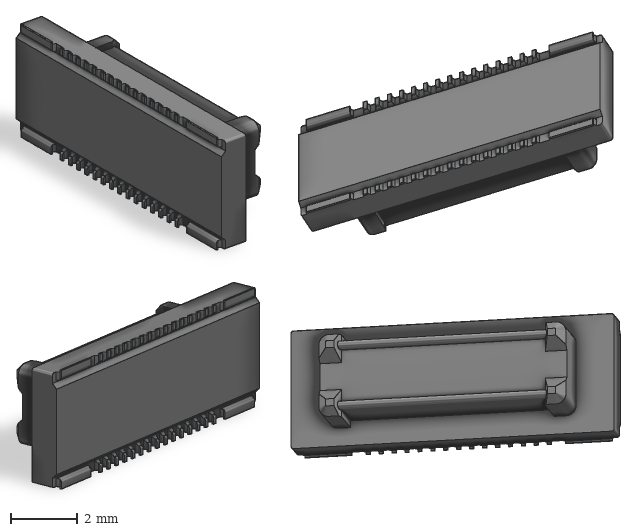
import cadquery as cq


LENGTH = 10.0
BASE_HEIGHT = 3.68
BASE_DEPTH = 0.94
CORNER_RADIUS = 0.09
STEP_DEPTH = 0.16
STEP_Z = 1.52
FRONT_FACE_Z = 1.37

TOTAL_HEIGHT = 3.8
LEAD_THICKNESS = 0.065
FLANK_RUN = 0.06
BEND_TOP_Z = 1.7
PIN_COUNT = 15
PIN_PITCH = 0.4
PIN_WIDTH = 0.12
PIN_BEND_Z = 1.62
PIN_ROOT_Z = STEP_Z
TAB_WIDTH = 1.45
TAB_CENTER_X = 4.03
TAB_BEND_Z = 1.58
TAB_BEND_DEPTH = BEND_TOP_Z - TAB_BEND_Z

PLUG_LENGTH = 7.64
PLUG_HEIGHT = 2.56
PLUG_TOP = 2.64
PLUG_RADIUS = 0.3
TOWER_CHAMFER = 0.26
TOWER_INNER_X = 3.15
TOWER_TIP_INNER_X = 3.3
RAIL_HEIGHT = 2.14
RAIL_TOP = 2.45
RAIL_THICKNESS = 0.26
VALLEY_FLOOR = 2.23
VALLEY_FLOOR_Z = 0.42
VALLEY_MOUTH_Z = 0.8


def block(length, height, y_start, y_end):
    """Box centred on X and Z, spanning the given Y range."""
    box = cq.Workplane("XY").box(length, y_end - y_start, height, centered=(True, False, True))
    return box.translate((0, y_start, 0))


def mirrored(solid, plane):
    return solid.union(solid.mirror(plane))


def make_base():
    base = block(LENGTH, BASE_HEIGHT, 0, BASE_DEPTH).edges("|Y").fillet(CORNER_RADIUS)
    top_z = BASE_HEIGHT / 2
    ledge = (
        cq.Workplane("YZ")
        .polyline([(0, FRONT_FACE_Z), (STEP_DEPTH, STEP_Z), (STEP_DEPTH, top_z), (0, top_z)])
        .close()
        .extrude(LENGTH / 2, both=True)
    )
    return base.cut(mirrored(ledge, "XY"))


def make_contact(width, bend_depth, bend_z, root_z):
    """Contact of the top row at X = 0: a side profile trimmed to an outline widening at the ledge."""
    base_top = BASE_HEIGHT / 2
    bend_rise = BEND_TOP_Z - bend_z
    bend_radius = (bend_depth**2 + bend_rise**2) / (2 * bend_depth)
    root_half_width = width / 2 + FLANK_RUN
    profile = (
        cq.Workplane("YZ")
        .moveTo(STEP_DEPTH, root_z)
        .lineTo(STEP_DEPTH, base_top)
        .lineTo(LEAD_THICKNESS, base_top)
        .lineTo(LEAD_THICKNESS, TOTAL_HEIGHT / 2)
        .lineTo(0, TOTAL_HEIGHT / 2)
        .lineTo(0, BEND_TOP_Z)
        .radiusArc((bend_depth, bend_z), -bend_radius)
        .close()
        .extrude(root_half_width, both=True)
    )
    outline = (
        cq.Workplane("XY")
        .polyline([
            (-width / 2, 0),
            (width / 2, 0),
            (width / 2, LEAD_THICKNESS),
            (root_half_width, STEP_DEPTH),
            (-root_half_width, STEP_DEPTH),
            (-width / 2, LEAD_THICKNESS),
        ])
        .close()
        .extrude(TOTAL_HEIGHT / 2)
    )
    return profile.intersect(outline)


def make_contacts():
    pin = make_contact(PIN_WIDTH, LEAD_THICKNESS, PIN_BEND_Z, PIN_ROOT_Z)
    tab = make_contact(TAB_WIDTH, TAB_BEND_DEPTH, TAB_BEND_Z, TAB_BEND_Z)
    row = mirrored(tab.translate((TAB_CENTER_X, 0, 0)), "YZ")
    for index in range(PIN_COUNT):
        row = row.union(pin.translate(((index - (PIN_COUNT - 1) / 2) * PIN_PITCH, 0, 0)))
    return mirrored(row, "XY")


def make_plug():
    towers = (
        block(PLUG_LENGTH, PLUG_HEIGHT, BASE_DEPTH, PLUG_TOP)
        .edges("|Y")
        .fillet(PLUG_RADIUS)
        .faces(">Y")
        .chamfer(TOWER_CHAMFER)
    )
    gap = (
        cq.Workplane("XY")
        .polyline([
            (-TOWER_INNER_X, BASE_DEPTH),
            (-TOWER_INNER_X, VALLEY_FLOOR),
            (-TOWER_TIP_INNER_X, PLUG_TOP),
            (TOWER_TIP_INNER_X, PLUG_TOP),
            (TOWER_INNER_X, VALLEY_FLOOR),
            (TOWER_INNER_X, BASE_DEPTH),
        ])
        .close()
        .extrude(PLUG_HEIGHT / 2, both=True)
    )
    rail = (
        block(2 * TOWER_TIP_INNER_X, RAIL_THICKNESS, BASE_DEPTH, RAIL_TOP - RAIL_THICKNESS / 2)
        .union(
            cq.Workplane("YZ")
            .center(RAIL_TOP - RAIL_THICKNESS / 2, 0)
            .circle(RAIL_THICKNESS / 2)
            .extrude(TOWER_TIP_INNER_X, both=True)
        )
        .translate((0, 0, (RAIL_HEIGHT - RAIL_THICKNESS) / 2))
    )
    core = block(2 * TOWER_TIP_INNER_X, RAIL_HEIGHT, BASE_DEPTH, VALLEY_FLOOR)
    valley = (
        cq.Workplane("YZ")
        .polyline([
            (VALLEY_FLOOR, -VALLEY_FLOOR_Z),
            (PLUG_TOP, -VALLEY_MOUTH_Z),
            (PLUG_TOP, VALLEY_MOUTH_Z),
            (VALLEY_FLOOR, VALLEY_FLOOR_Z),
        ])
        .close()
        .extrude(PLUG_LENGTH / 2, both=True)
    )
    return towers.cut(gap).cut(valley).union(core).union(mirrored(rail, "XY"))


result = make_base().union(make_contacts()).union(make_plug())